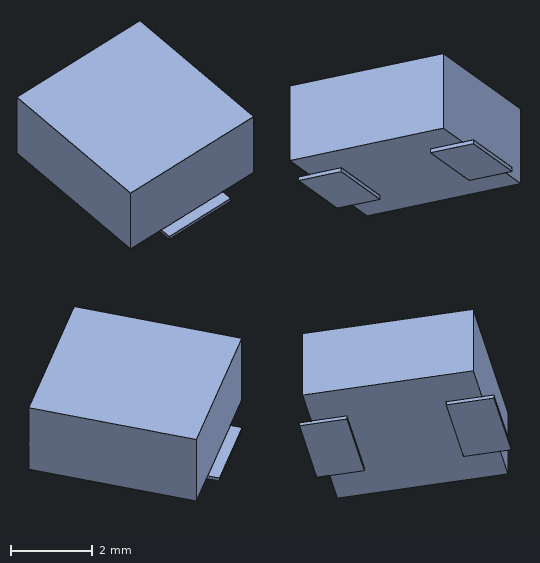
import cadquery as cq

overall_length = 4.9
overall_height = 2.1

housing_length = 4.3
housing_width = 4.0
housing_height = 2.0

terminal_length = 1.2
terminal_width = housing_width / 2
terminal_thickness = overall_height - housing_height
terminal_center_x = (overall_length - terminal_length) / 2


def make_housing():
    """Block resting on top of the terminals."""
    return (
        cq.Workplane("XY")
        .workplane(offset=terminal_thickness)
        .box(housing_length, housing_width, housing_height, centered=(True, True, False))
    )


def make_terminal(side):
    """Flat plate at the -X end (side = -1) or the +X end (side = 1)."""
    return (
        cq.Workplane("XY")
        .center(side * terminal_center_x, 0)
        .box(terminal_length, terminal_width, terminal_thickness, centered=(True, True, False))
    )


housing = make_housing()
terminals = [make_terminal(side) for side in (-1, 1)]

result = cq.Compound.makeCompound([housing.val(), *[terminal.val() for terminal in terminals]])